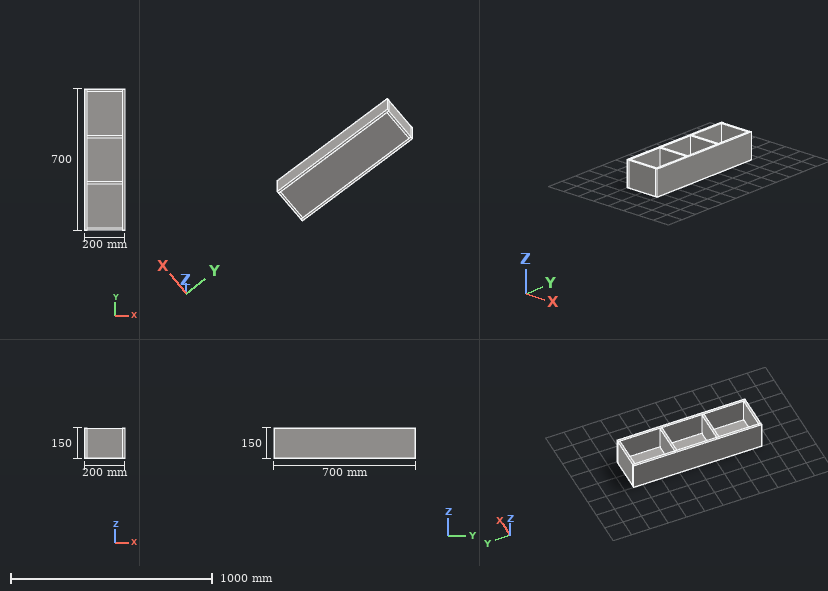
import cadquery as cq

width = 200.0
length = 700.0
height = 150.0

board = 12.0
floor_thickness = 21.0

end_inset = 0.5
top_drop = 1.0

divider_count = 2

inner_width = width - 2 * board
inner_length = length - 2 * (end_inset + board)
cross_height = height - top_drop
compartment_length = (inner_length - divider_count * board) / (divider_count + 1)
divider_pitch = compartment_length + board


def panel(size_x, size_y, size_z, x=0, y=0, z=0):
    """Rectangular board centred on (x, y) with its underside at z."""
    return (
        cq.Workplane("XY")
        .box(size_x, size_y, size_z, centered=(True, True, False))
        .translate((x, y, z))
    )


def side_panel(direction):
    """Long outer wall, running the full length and height of the box."""
    return panel(board, length, height, x=direction * (width - board) / 2)


def end_panel(direction):
    """Short outer wall, fitted between the side panels."""
    return panel(inner_width, board, cross_height, y=direction * (inner_length + board) / 2)


def floor_panel():
    """Floor enclosed by the side and end panels."""
    return panel(inner_width, inner_length, floor_thickness)


def divider(index):
    """Upright board standing on the floor, level with the top of the end panels."""
    y = (index - (divider_count - 1) / 2) * divider_pitch
    return panel(inner_width, board, cross_height - floor_thickness, y=y, z=floor_thickness)


sides = [side_panel(direction) for direction in (-1, 1)]
ends = [end_panel(direction) for direction in (-1, 1)]
floor = floor_panel()
dividers = [divider(index) for index in range(divider_count)]

bodies = [*sides, *ends, floor, *dividers]
result = cq.Compound.makeCompound([body.val() for body in bodies])